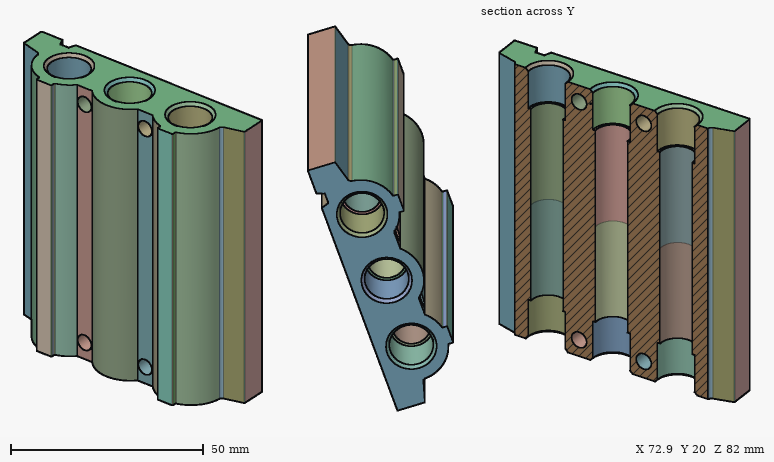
import cadquery as cq
import math

WIDTH = 72.9
DEPTH = 20.0
LENGTH = 82.0

CHANNEL_PITCH = 20.0
CHANNEL_Y = -9.35
CHANNEL_DIAMETER = 10.0
WALL_Y = -9.0
WALL_RADIUS = 10.0
CHANNEL_CENTERS = (-CHANNEL_PITCH, 0.0, CHANNEL_PITCH)
OUTER_CHANNELS = (-CHANNEL_PITCH, CHANNEL_PITCH)

PORT_DIAMETER = 11.45
PORT_MOUTH_DIAMETER = 13.16
PORT_DEPTH = 12.0
PORT_CHAMFER = (PORT_MOUTH_DIAMETER - PORT_DIAMETER) / 2

FLANGE_EDGE_DEPTH = 7.5
FLANGE_SLOPE = math.radians(15)
FLANGE_ROOT_RADIUS = 1.005

FLAT_DEPTH = 15.6
RIB_WIDTH = 5.0

CORNER_RADIUS = 0.2

GROOVE_X = -27.3
GROOVE_DEPTH = 2.1
GROOVE_MOUTH_WIDTH = 4.4
GROOVE_FLOOR_WIDTH = 2.8

MOUNT_DIAMETER = 4.5
MOUNT_SPACING_X = CHANNEL_PITCH
MOUNT_END_DISTANCE = 5.0
MOUNT_SPACING_Z = LENGTH - 2 * MOUNT_END_DISTANCE


def lower_end():
    """Sketch plane parallel to XY at the lower end of the part."""
    return cq.Workplane("XY", origin=(0, 0, -LENGTH / 2))


def make_flanged_plate():
    """Full-width plate; its front slopes end on the outer channel axes, inside the walls."""
    edge_x = WIDTH / 2
    slope_end_depth = FLANGE_EDGE_DEPTH + (edge_x - CHANNEL_PITCH) * math.tan(FLANGE_SLOPE)
    return (
        lower_end()
        .polyline([
            (-edge_x, 0),
            (-edge_x, -FLANGE_EDGE_DEPTH),
            (-CHANNEL_PITCH, -slope_end_depth),
            (-CHANNEL_PITCH, -FLAT_DEPTH),
            (CHANNEL_PITCH, -FLAT_DEPTH),
            (CHANNEL_PITCH, -slope_end_depth),
            (edge_x, -FLANGE_EDGE_DEPTH),
            (edge_x, 0),
        ])
        .close()
        .extrude(LENGTH)
    )


def make_wall(x):
    """Wall around the channel at x: half round in front, straight sides behind."""
    return (
        lower_end()
        .moveTo(x - WALL_RADIUS, -FLANGE_EDGE_DEPTH)
        .lineTo(x - WALL_RADIUS, WALL_Y)
        .threePointArc((x, WALL_Y - WALL_RADIUS), (x + WALL_RADIUS, WALL_Y))
        .lineTo(x + WALL_RADIUS, -FLANGE_EDGE_DEPTH)
        .close()
        .extrude(LENGTH)
    )


def make_rib(x):
    """Rectangular rib from the wall centre at x out to the front of the part."""
    rib_depth = DEPTH + WALL_Y
    rib_center_y = WALL_Y - rib_depth / 2
    return lower_end().center(x, rib_center_y).rect(RIB_WIDTH, rib_depth).extrude(LENGTH)


def fillet_edge_at(body, x, y, radius):
    """Round the lengthwise edge that passes closest to (x, y)."""
    nearest = cq.selectors.NearestToPointSelector((x, y, 0))
    return body.edges("|Z").edges(nearest).fillet(radius)


def fillet_flanges(body):
    """Round the flange corners and the inside corners where the slopes meet the walls."""
    edge_x = WIDTH / 2
    root_x = CHANNEL_PITCH + WALL_RADIUS
    root_y = -FLANGE_EDGE_DEPTH - (edge_x - root_x) * math.tan(FLANGE_SLOPE)
    for side in (-1, 1):
        body = fillet_edge_at(body, side * root_x, root_y, FLANGE_ROOT_RADIUS)
        body = fillet_edge_at(body, side * edge_x, -FLANGE_EDGE_DEPTH, CORNER_RADIUS)
        body = fillet_edge_at(body, side * edge_x, 0, CORNER_RADIUS)
    return body


def fillet_ribs(body):
    """Round the front corners of the ribs and the corners where they leave the walls."""
    half_width = RIB_WIDTH / 2
    root_y = WALL_Y - math.sqrt(WALL_RADIUS**2 - half_width**2)
    for center_x in OUTER_CHANNELS:
        for x in (center_x - half_width, center_x + half_width):
            body = fillet_edge_at(body, x, -DEPTH, CORNER_RADIUS)
            body = fillet_edge_at(body, x, root_y, CORNER_RADIUS)
    return body


def make_channel(x):
    """Cutter for one channel: through bore, with a chamfered port at each end."""
    end_z = LENGTH / 2
    bore_radius = CHANNEL_DIAMETER / 2
    port_radius = PORT_DIAMETER / 2
    mouth_radius = PORT_MOUTH_DIAMETER / 2
    port_floor_z = end_z - PORT_DEPTH
    chamfer_z = end_z - PORT_CHAMFER
    half_profile = (
        cq.Workplane("XZ", origin=(x, CHANNEL_Y, 0))
        .polyline([
            (0, 0),
            (bore_radius, 0),
            (bore_radius, port_floor_z),
            (port_radius, port_floor_z),
            (port_radius, chamfer_z),
            (mouth_radius, end_z),
            (0, end_z),
        ])
        .close()
    )
    upper_half = half_profile.revolve(360, (0, 0, 0), (0, 1, 0))
    return upper_half.union(upper_half.mirror("XY"))


def make_groove():
    """Cutter for the groove along the back face, narrowing towards its floor."""
    half_mouth = GROOVE_MOUTH_WIDTH / 2
    half_floor = GROOVE_FLOOR_WIDTH / 2
    return (
        lower_end()
        .center(GROOVE_X, 0)
        .polyline([
            (-half_mouth, 0),
            (-half_floor, -GROOVE_DEPTH),
            (half_floor, -GROOVE_DEPTH),
            (half_mouth, 0),
        ])
        .close()
        .extrude(LENGTH)
    )


def make_mounting_holes():
    """Cutter for the four holes running from front to back."""
    return (
        cq.Workplane("XZ")
        .rarray(MOUNT_SPACING_X, MOUNT_SPACING_Z, 2, 2)
        .circle(MOUNT_DIAMETER / 2)
        .extrude(DEPTH)
    )


def make_part():
    body = make_flanged_plate()
    for x in CHANNEL_CENTERS:
        body = body.union(make_wall(x))
    for x in OUTER_CHANNELS:
        body = body.union(make_rib(x))
    body = fillet_ribs(fillet_flanges(body))
    for x in CHANNEL_CENTERS:
        body = body.cut(make_channel(x))
    return body.cut(make_groove()).cut(make_mounting_holes())


result = make_part()